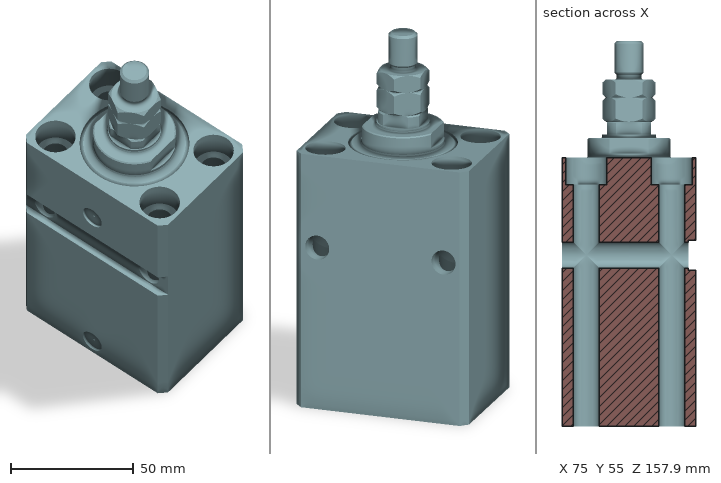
import cadquery as cq
import math

overall_height = 157.9
block_width = 75.0
block_depth = 55.0
block_height = 110.0
corner_chamfer = 3.0

bolt_hole_diameter = 10.5
bolt_spacing_x = 55.0
bolt_spacing_y = 35.0
counterbore_diameter = 16.6
counterbore_depth = 11.0
slot_height = 12.0
slot_depth = 3.0
slot_center_z = block_height - 40.0

port_seat_diameter = 10.0
port_seat_depth = 1.1
port_hole_diameter = 1.0
port_hole_depth = 7.9
lower_port_z = 7.0
upper_port_z = block_height - 22.0

gland_diameter = 45.0
gland_seat_depth = 14.2
gland_rim_chamfer = 1.5
hub_diameter = 34.0
hub_height = 8.0
hub_chamfer = 0.5
hub_foot_height = 0.5
hub_flat_width = 30.0
hub_flat_start = 1.7
wiper_height = 0.5

rod_diameter = 22.0
rod_exposed_length = 1.5
square_width = 18.0
square_corner_diameter = 21.0
square_length = 5.2
square_end_chamfer = 0.5
thread_diameter = 12.0
thread_end_chamfer = 1.0
neck_diameter = 10.1
neck_fillet = 0.8
neck_length = 1.9
neck_cone_height = (thread_diameter - neck_diameter) / 2

hex_width = 19.0
hex_chamfer_angle = 42.0
hex_chamfer_circle = hex_width
flat_to_corner_angle = 30.0
nut_height = 10.0
collar_height = 7.5

gland_bottom_z = block_height - gland_seat_depth
hub_top_z = block_height + hub_height
shoulder_z = hub_top_z + rod_exposed_length
nut_bottom_z = shoulder_z + square_length
collar_bottom_z = nut_bottom_z + nut_height
collar_top_z = collar_bottom_z + collar_height
neck_top_z = collar_top_z + neck_length


def cylinder(diameter, bottom_z, top_z):
    """Upright cylinder on the rod axis."""
    return cq.Workplane("XY").workplane(offset=bottom_z).circle(diameter / 2).extrude(top_z - bottom_z)


def cone(bottom_diameter, top_diameter, bottom_z, height):
    """Upright truncated cone on the rod axis."""
    return cq.Workplane(
        cq.Solid.makeCone(bottom_diameter / 2, top_diameter / 2, height, cq.Vector(0, 0, bottom_z))
    )


def chamfered_hexagon(bottom_z, height):
    """Hexagon with flats facing +X and -X, its corners turned off by cones at both ends."""
    corner_radius = hex_width / math.sqrt(3)
    circle_radius = hex_chamfer_circle / 2
    chamfer_height = (corner_radius - circle_radius) * math.tan(math.radians(hex_chamfer_angle))
    top_z = bottom_z + height
    hexagon = (
        cq.Workplane("XY")
        .workplane(offset=bottom_z)
        .polygon(6, 2 * corner_radius)
        .extrude(height)
        .rotate((0, 0, 0), (0, 0, 1), flat_to_corner_angle)
    )
    turned_envelope = (
        cq.Workplane("XZ")
        .moveTo(0, bottom_z)
        .lineTo(circle_radius, bottom_z)
        .lineTo(corner_radius, bottom_z + chamfer_height)
        .lineTo(corner_radius, top_z - chamfer_height)
        .lineTo(circle_radius, top_z)
        .lineTo(0, top_z)
        .close()
        .revolve(360, (0, 0), (0, 1))
    )
    return hexagon.intersect(turned_envelope)


def make_housing():
    """Cylinder block with bolt holes, slot, oil ports and gland seat."""
    front_y = -block_depth / 2
    block = (
        cq.Workplane("XY")
        .box(block_width, block_depth, block_height, centered=(True, True, False))
        .edges("|Z")
        .chamfer(corner_chamfer)
    )

    block = (
        block.faces(">Z")
        .workplane()
        .rarray(bolt_spacing_x, bolt_spacing_y, 2, 2)
        .cboreHole(bolt_hole_diameter, counterbore_diameter, counterbore_depth)
    )

    slot = cq.Workplane("XY").box(block_width, 2 * slot_depth, slot_height)
    block = block.cut(slot.translate((0, front_y, slot_center_z)))
    cross_holes = (
        cq.Workplane("XZ", origin=(0, 0, slot_center_z))
        .rarray(bolt_spacing_x, 1.6, 2, 1)
        .circle(bolt_hole_diameter / 2)
        .extrude(block_depth, both=True)
    )
    block = block.cut(cross_holes)

    for port_z in (lower_port_z, upper_port_z):
        port_plane = cq.Workplane("XZ", origin=(0, front_y, port_z))
        port_seat = port_plane.circle(port_seat_diameter / 2).extrude(-port_seat_depth)
        port_hole = port_plane.circle(port_hole_diameter / 2).extrude(-port_hole_depth)
        block = block.cut(port_seat).cut(port_hole)

    return block.cut(cylinder(gland_diameter, gland_bottom_z, block_height))


def make_gland():
    """Plug with a flatted hub, bored for the rod."""
    plug = cylinder(gland_diameter, gland_bottom_z, block_height)
    plug = plug.faces(">Z").edges().chamfer(gland_rim_chamfer)
    hub = cylinder(hub_diameter, block_height, hub_top_z).faces(">Z").edges().chamfer(hub_chamfer)

    flat_start_z = block_height + hub_flat_start
    flats_envelope = (
        cq.Workplane("XY")
        .workplane(offset=flat_start_z)
        .rect(hub_flat_width, hub_diameter)
        .extrude(hub_top_z - flat_start_z)
    )
    hub = hub.intersect(flats_envelope.union(cylinder(hub_diameter, block_height, flat_start_z)))

    foot = cone(hub_diameter + 2 * hub_foot_height, hub_diameter, block_height, hub_foot_height)

    wiper_lip = cone(rod_diameter + 2 * wiper_height, rod_diameter, hub_top_z, wiper_height)
    rod_bore = cylinder(rod_diameter, gland_bottom_z, shoulder_z)
    return plug.union(hub).union(foot).union(wiper_lip).cut(rod_bore)


def make_rod():
    """Shaft, wrench square, hexagonal collar and threaded end in one piece."""
    shaft = cylinder(rod_diameter, gland_bottom_z, shoulder_z)
    square_corners = cylinder(square_corner_diameter, shoulder_z, nut_bottom_z)
    square_corners = square_corners.faces(">Z").edges().chamfer(square_end_chamfer)
    square = (
        cq.Workplane("XY")
        .workplane(offset=shoulder_z)
        .rect(square_width, square_width)
        .extrude(square_length)
        .intersect(square_corners)
    )
    core = cylinder(thread_diameter, nut_bottom_z, collar_bottom_z)
    collar = chamfered_hexagon(collar_bottom_z, collar_height)

    thread_radius = thread_diameter / 2
    neck_radius = neck_diameter / 2
    fillet_middle = neck_fillet * (1 - math.sqrt(0.5))
    threaded_end = (
        cq.Workplane("XZ")
        .moveTo(0, collar_top_z)
        .lineTo(neck_radius + neck_fillet, collar_top_z)
        .threePointArc(
            (neck_radius + fillet_middle, collar_top_z + fillet_middle),
            (neck_radius, collar_top_z + neck_fillet),
        )
        .lineTo(neck_radius, neck_top_z)
        .lineTo(thread_radius, neck_top_z + neck_cone_height)
        .lineTo(thread_radius, overall_height - thread_end_chamfer)
        .lineTo(thread_radius - thread_end_chamfer, overall_height)
        .lineTo(0, overall_height)
        .close()
        .revolve(360, (0, 0), (0, 1))
    )
    return shaft.union(square).union(core).union(collar).union(threaded_end)


def make_lock_nut():
    """Hexagonal nut between the wrench square and the collar."""
    return chamfered_hexagon(nut_bottom_z, nut_height).cut(
        cylinder(thread_diameter, nut_bottom_z, collar_bottom_z)
    )


housing = make_housing()
gland = make_gland()
rod = make_rod()
lock_nut = make_lock_nut()

result = cq.Compound.makeCompound([housing.val(), gland.val(), rod.val(), lock_nut.val()])